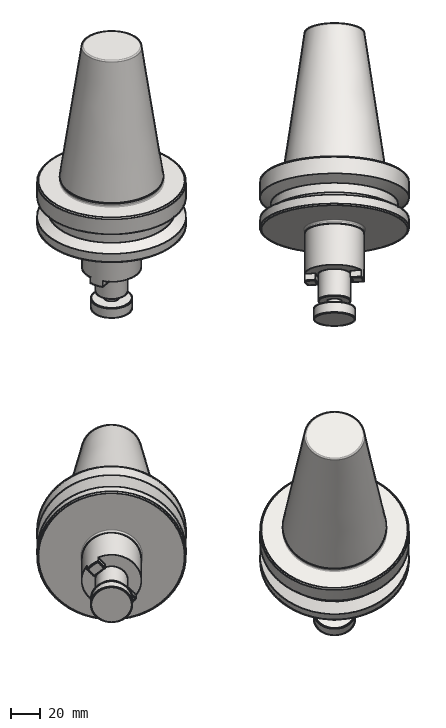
import cadquery as cq
import math


gauge_dia = 69.85
taper_ratio = 7 / 24
taper_length = 101.8
taper_tip_fillet = 1.0
taper_relief_depth = 0.475
taper_relief_cone_length = 1.0
taper_relief_fillet = 0.5
tip_radius = (gauge_dia - taper_length * taper_ratio) / 2

flange_dia = 100.0
flange_top_z = -3.0
flange_bottom_z = -38.0
flange_chamfer = 1.0
groove_centre_z = -23.2
groove_floor_dia = 85.3
groove_floor_width = 6.6
groove_wall_angle = 30.0

arbor_dia = 40.0
arbor_bottom_z = -70.0
arbor_relief_depth = 0.3
arbor_relief_cone_length = 0.5
arbor_relief_length = 3.0
arbor_relief_fillet = 1.0
spigot_dia = 22.0
spigot_bottom_z = -89.0
spigot_chamfer = 0.5

key_width = 10.0
key_height = 5.0
key_inner_radius = 12.0
key_chamfer = 0.6

screw_neck_dia = 10.0
screw_head_dia = 28.0
screw_head_top_z = -94.0
screw_head_bottom_z = -102.0
screw_head_chamfer = 0.5


def cylinder(diameter, top_z, bottom_z):
    """Solid cylinder on the Z axis between two heights."""
    return cq.Workplane("XY").workplane(offset=bottom_z).circle(diameter / 2).extrude(top_z - bottom_z)


def revolve_profile(profile):
    """Revolve a closed sketch of radius and height about the Z axis."""
    return profile.close().revolve(360, (0, 0, 0), (0, 1, 0))


def quarter_arc_midpoint(centre_radius, centre_z, arc_radius, z_sign):
    """Midpoint of a quarter arc lying inward of its centre, on the z_sign side."""
    offset = arc_radius * math.sqrt(0.5)
    return (centre_radius - offset, centre_z + z_sign * offset)


def taper_shank():
    """Cone above the gauge plane, with a relief neck filleted into the flange."""
    neck_radius = gauge_dia / 2 - taper_relief_depth
    fillet_centre_radius = neck_radius + taper_relief_fillet
    fillet_top_z = flange_top_z + taper_relief_fillet
    fillet_mid = quarter_arc_midpoint(fillet_centre_radius, fillet_top_z, taper_relief_fillet, -1)
    profile = (
        cq.Workplane("XZ")
        .moveTo(0, flange_top_z)
        .lineTo(fillet_centre_radius, flange_top_z)
        .threePointArc(fillet_mid, (neck_radius, fillet_top_z))
        .lineTo(neck_radius, -taper_relief_cone_length)
        .lineTo(gauge_dia / 2, 0)
        .lineTo(tip_radius, taper_length)
        .lineTo(0, taper_length)
    )
    return revolve_profile(profile).faces(">Z").edges().fillet(taper_tip_fillet)


def gripper_groove():
    """Ring of V-groove section cut from the flange rim."""
    floor_radius = groove_floor_dia / 2
    rim_radius = flange_dia / 2
    floor_half = groove_floor_width / 2
    mouth_half = floor_half + (rim_radius - floor_radius) * math.tan(math.radians(groove_wall_angle))
    profile = [
        (floor_radius, groove_centre_z - floor_half),
        (rim_radius, groove_centre_z - mouth_half),
        (rim_radius, groove_centre_z + mouth_half),
        (floor_radius, groove_centre_z + floor_half),
    ]
    return revolve_profile(cq.Workplane("XZ").polyline(profile))


def flange():
    """Chamfered disc with the gripper groove around its rim."""
    disc = cylinder(flange_dia, flange_top_z, flange_bottom_z)
    return disc.edges("%CIRCLE").chamfer(flange_chamfer).cut(gripper_groove())


def drive_key(side):
    """Key on the arbor end face, on the +Y (side = 1) or -Y (side = -1) side."""
    arbor_radius = arbor_dia / 2
    key_bottom_z = arbor_bottom_z - key_height
    bar_length = arbor_radius - key_inner_radius
    bar_centre_y = side * (arbor_radius + key_inner_radius) / 2
    bar = (
        cq.Workplane("XY")
        .workplane(offset=key_bottom_z)
        .center(0, bar_centre_y)
        .rect(key_width, bar_length)
        .extrude(key_height)
    )
    key = bar.intersect(cylinder(arbor_dia, arbor_bottom_z, key_bottom_z))
    return key.faces("<Z").edges().chamfer(key_chamfer)


def arbor_body():
    """Arbor cylinder with a relief neck filleted into the flange."""
    arbor_radius = arbor_dia / 2
    neck_radius = arbor_radius - arbor_relief_depth
    relief_end_z = flange_bottom_z - arbor_relief_length
    fillet_centre_radius = neck_radius + arbor_relief_fillet
    fillet_bottom_z = flange_bottom_z - arbor_relief_fillet
    fillet_mid = quarter_arc_midpoint(fillet_centre_radius, fillet_bottom_z, arbor_relief_fillet, 1)
    profile = (
        cq.Workplane("XZ")
        .moveTo(0, flange_bottom_z)
        .lineTo(fillet_centre_radius, flange_bottom_z)
        .threePointArc(fillet_mid, (neck_radius, fillet_bottom_z))
        .lineTo(neck_radius, relief_end_z + arbor_relief_cone_length)
        .lineTo(arbor_radius, relief_end_z)
        .lineTo(arbor_radius, arbor_bottom_z)
        .lineTo(0, arbor_bottom_z)
    )
    return revolve_profile(profile)


def arbor():
    """Arbor body, centring spigot and the two drive keys."""
    body = arbor_body()
    spigot = cylinder(spigot_dia, arbor_bottom_z, spigot_bottom_z)
    body = body.union(spigot.faces("<Z").edges().chamfer(spigot_chamfer))
    for side in (1, -1):
        body = body.union(drive_key(side))
    return body


def retaining_screw():
    """Screw neck and chamfered head below the spigot."""
    neck = cylinder(screw_neck_dia, spigot_bottom_z, screw_head_top_z)
    head = cylinder(screw_head_dia, screw_head_top_z, screw_head_bottom_z)
    return neck.union(head.edges().chamfer(screw_head_chamfer))


result = taper_shank().union(flange()).union(arbor()).union(retaining_screw())